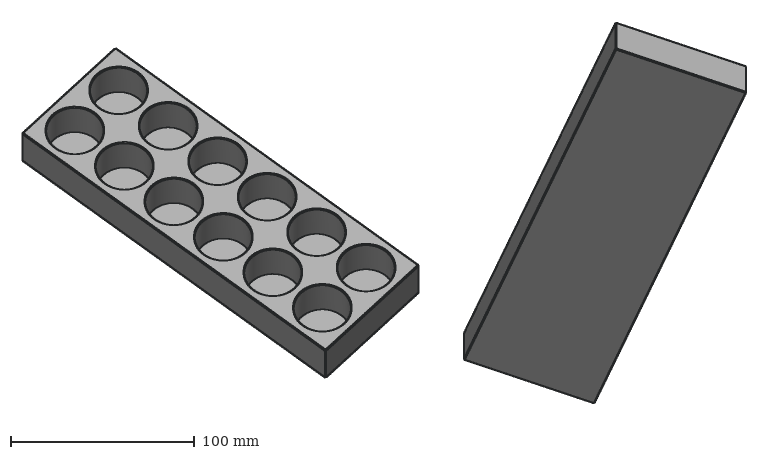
import cadquery as cq

columns = 6
rows = 2
well_diameter = 31.0
wall = 5.0
pitch = well_diameter + wall

length = columns * pitch + wall
width = rows * pitch + wall
height = 26.0
floor = 3.0
well_depth = height - floor

outer_chamfer = 0.6
rim_chamfer = 0.6


def make_block():
    """Rectangular block resting on Z = 0 with all its edges chamfered."""
    block = cq.Workplane("XY").box(length, width, height, centered=(True, True, False))
    return block.edges().chamfer(outer_chamfer)


def make_well():
    """Solid of one blind well: a cylinder that flares at the rim."""
    bore = cq.Workplane("XY").workplane(offset=floor).circle(well_diameter / 2).extrude(well_depth)
    flare = (
        cq.Workplane("XY")
        .workplane(offset=height - rim_chamfer)
        .circle(well_diameter / 2)
        .workplane(offset=rim_chamfer)
        .circle(well_diameter / 2 + rim_chamfer)
        .loft(ruled=True)
    )
    return bore.union(flare)


def cut_wells(block):
    """Cut the wells in a rectangular grid centred on the block."""
    well = make_well()
    for column in range(columns):
        for row in range(rows):
            x = (column - (columns - 1) / 2) * pitch
            y = (row - (rows - 1) / 2) * pitch
            block = block.cut(well.translate((x, y, 0)))
    return block


result = cut_wells(make_block())